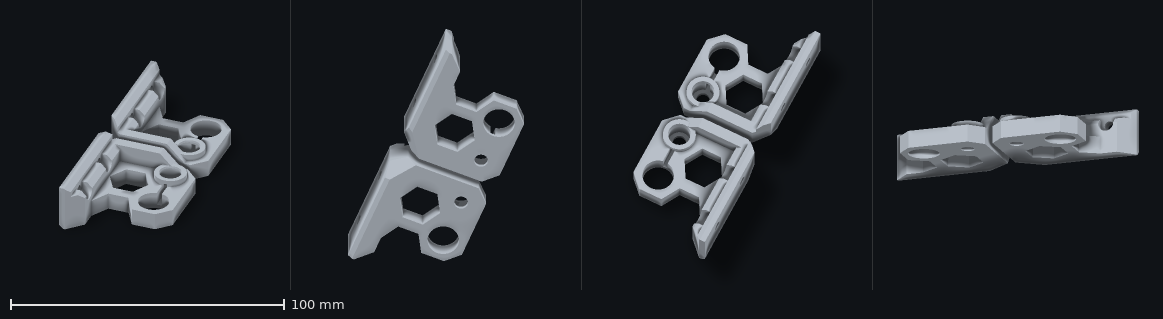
import cadquery as cq
import math

total_span = 93.0
bracket_length = 45.0
bracket_width = 38.0
bracket_height = 17.5
half_gap = total_span / 2 - bracket_length

plate_depth = 33.0
plate_thickness = 6.5
corner_cut = 5.0

wall_depth = 8.0
wall_step = wall_depth / 4
shoulder_z = 13.5
wall_bottom_chamfer = 1.6
wall_end_cut = 5.7

screw_hole_diameter = 3.5
screw_z = 11.5
screw_positions_y = (15.0, 35.0)
head_slot_width = 5.95

rib_thickness = wall_depth / 2
rib_slope_start_x = 23.7

corner_facet_reach = 11.4
corner_facet_slope = math.sqrt(2)

hex_x = 2 * wall_depth
notch_corner_radius = wall_depth
hex_hole_y = 15.0
hex_hole_corner_radius = 7.7
hex_hole_mouth_radius = notch_corner_radius
hex_flare_height = 3.0

bore_x = 29.4
boss_y = 8.0
boss_diameter = 12.0
boss_top_z = 9.0
bore_diameter = 8.0
bore_floor_z = 1.5
bore_mouth_diameter = 8.4
bore_mouth_depth = 0.7
pin_hole_diameter = 5.0
rod_hole_y = 25.0
rod_hole_diameter = 11.5
slot_width = wall_step
slot_top_z = 7.5


def box(x_range, y_range, z_range):
    """Box between the given lower and upper limits on each axis."""
    sizes = [high - low for low, high in (x_range, y_range, z_range)]
    corner = (x_range[0], y_range[0], z_range[0])
    return cq.Workplane("XY").box(*sizes, centered=False).translate(corner)


def upright_cylinder(x, y, diameter, bottom_z, top_z):
    base = cq.Workplane("XY", origin=(x, y, bottom_z))
    return base.circle(diameter / 2).extrude(top_z - bottom_z)


def hexagon(y, corner_radius, z=0):
    """Hexagon at hex_x with two of its corners pointing along X."""
    return cq.Workplane("XY", origin=(hex_x, y, z)).polygon(6, 2 * corner_radius)


def prism_along_y(points, length):
    """XZ outline extruded from y = 0 toward +Y."""
    return cq.Workplane("XZ").polyline(points).close().extrude(-length)


def make_wall():
    profile = [
        (wall_bottom_chamfer, 0),
        (wall_depth, 0),
        (wall_depth, shoulder_z - wall_step),
        (wall_depth - wall_step, shoulder_z),
        (2 * wall_step, shoulder_z),
        (2 * wall_step, bracket_height - wall_step),
        (wall_step, bracket_height),
        (0, bracket_height),
        (0, wall_bottom_chamfer),
    ]
    wall = prism_along_y(profile, bracket_length)
    end_cut = (
        cq.Workplane("XY")
        .moveTo(wall_depth, bracket_length)
        .lineTo(wall_depth - wall_end_cut, bracket_length)
        .lineTo(wall_depth, bracket_length - wall_end_cut)
        .close()
        .extrude(bracket_height)
    )
    return wall.cut(end_cut)


def make_rib():
    slope_end_x = rib_slope_start_x + shoulder_z - plate_thickness
    profile = [
        (wall_step, 0),
        (slope_end_x, 0),
        (slope_end_x, plate_thickness),
        (rib_slope_start_x, shoulder_z),
        (wall_step, shoulder_z),
    ]
    return prism_along_y(profile, rib_thickness)


def make_plate():
    plate = box((wall_step, bracket_width), (0, plate_depth), (0, plate_thickness))
    plate = plate.edges("|Z and >X").chamfer(corner_cut)
    notch = hexagon(plate_depth, notch_corner_radius).extrude(plate_thickness)
    return plate.cut(notch)


def inner_corner_cuts():
    """Vertical corner cut and the sloped facet below it, at x = 0, y = 0."""
    vertical_cut = (
        cq.Workplane("XY")
        .polyline([(0, 0), (corner_cut, 0), (0, corner_cut)])
        .close()
        .extrude(bracket_height)
    )
    origin = cq.Vector(0, 0, 0)
    x_tip = cq.Vector(corner_facet_reach / corner_facet_slope, 0, 0)
    y_tip = cq.Vector(0, corner_facet_reach, 0)
    z_tip = cq.Vector(0, 0, corner_facet_reach)
    triangles = [
        (origin, x_tip, y_tip),
        (origin, y_tip, z_tip),
        (origin, z_tip, x_tip),
        (x_tip, y_tip, z_tip),
    ]
    faces = [cq.Face.makeFromWires(cq.Wire.makePolygon(list(t), close=True)) for t in triangles]
    facet = cq.Workplane(cq.Solid.makeSolid(cq.Shell.makeShell(faces)))
    return vertical_cut.union(facet)


def wall_screw_cut(y):
    """Through hole along X plus the round-bottomed head slot behind it."""
    hole = cq.Workplane("YZ").center(y, screw_z).circle(screw_hole_diameter / 2).extrude(wall_depth)
    half_width = head_slot_width / 2
    head_slot = (
        cq.Workplane("YZ", origin=(2 * wall_step, 0, 0))
        .moveTo(y - half_width, shoulder_z)
        .lineTo(y - half_width, screw_z)
        .threePointArc((y, screw_z - half_width), (y + half_width, screw_z))
        .lineTo(y + half_width, shoulder_z)
        .close()
        .extrude(2 * wall_step)
    )
    return hole.union(head_slot)


def hex_hole_cut():
    """Straight hexagonal hole that flares out toward the underside."""
    straight = hexagon(hex_hole_y, hex_hole_corner_radius).extrude(plate_thickness)
    flare = (
        hexagon(hex_hole_y, hex_hole_mouth_radius)
        .workplane(offset=hex_flare_height)
        .polygon(6, 2 * hex_hole_corner_radius)
        .loft()
    )
    return straight.union(flare)


def bore_cuts():
    pin_hole = upright_cylinder(bore_x, boss_y, pin_hole_diameter, 0, boss_top_z)
    bore = upright_cylinder(bore_x, boss_y, bore_diameter, bore_floor_z, shoulder_z)
    mouth = (
        cq.Workplane("XY", origin=(bore_x, boss_y, boss_top_z - bore_mouth_depth))
        .circle(bore_diameter / 2)
        .workplane(offset=bore_mouth_depth)
        .circle(bore_mouth_diameter / 2)
        .loft()
    )
    rod_hole = upright_cylinder(bore_x, rod_hole_y, rod_hole_diameter, 0, plate_thickness)
    slot = box(
        (bore_x - slot_width / 2, bore_x + slot_width / 2),
        (boss_y, rod_hole_y),
        (bore_floor_z, slot_top_z),
    )
    return pin_hole.union(bore).union(mouth).union(rod_hole).union(slot)


def make_bracket():
    boss = upright_cylinder(bore_x, boss_y, boss_diameter, 0, boss_top_z)
    bracket = make_plate().union(make_wall()).union(make_rib()).union(boss)
    bracket = bracket.cut(inner_corner_cuts()).cut(hex_hole_cut()).cut(bore_cuts())
    for y in screw_positions_y:
        bracket = bracket.cut(wall_screw_cut(y))
    return bracket.translate((0, half_gap, 0))


back_bracket = make_bracket()
front_bracket = back_bracket.mirror("XZ")

result = cq.Compound.makeCompound([back_bracket.val(), front_bracket.val()])